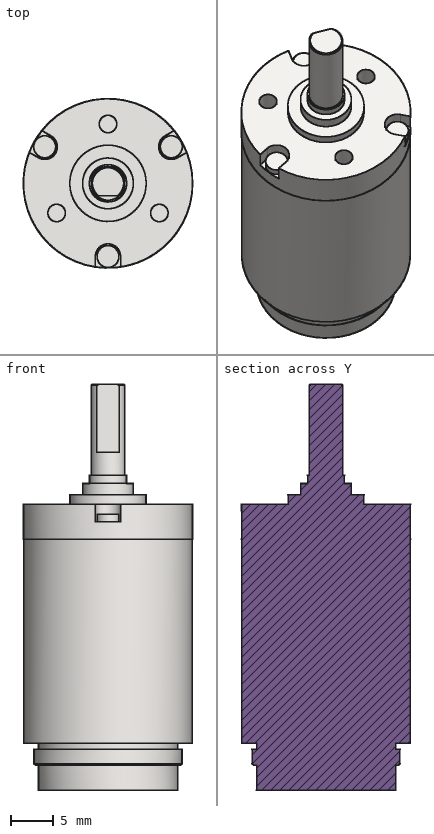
import cadquery as cq

can_diameter = 16.5
body_diameter = 19.95
shaft_diameter = 4.0
body_bottom = 5.55
cap_bottom = 29.65
cap_top = 33.85
total_height = 48.0

ring_diameter = 17.5
ring_bottom = 3.0
ring_top = 4.9
ring_chamfer = 0.2

cap_diameter = 20.0
flange_diameter = 9.0
flange_top = 34.95
boss_diameter = 6.0
boss_top = 36.3
collar_diameter = 4.4
collar_top = 37.25

shaft_chamfer = 0.15
flat_offset = 1.5
flat_length = 8.0

feature_count = 3
hole_diameter = 2.05
hole_radius = 7.0
notch_width = 3.0
notch_radius = 8.65
notch_depth = 2.05
screw_diameter = 2.6
screw_height = 0.85


def cylinder(diameter, bottom, top):
    return cq.Workplane("XY").workplane(offset=bottom).circle(diameter / 2).extrude(top - bottom)


def around_axis(feature, start_angle):
    """Three equally spaced copies of a feature that lies on the +X side."""
    copies = cq.Workplane("XY")
    for index in range(feature_count):
        angle = start_angle + index * 360 / feature_count
        copies = copies.add(feature.rotate((0, 0, 0), (0, 0, 1), angle))
    return copies.combine()


def make_body():
    body = cylinder(can_diameter, 0, body_bottom)
    body = body.union(cylinder(ring_diameter, ring_bottom, ring_top).faces("<Z").chamfer(ring_chamfer))
    body = body.union(cylinder(body_diameter, body_bottom, cap_bottom))
    body = body.union(cylinder(cap_diameter, cap_bottom, cap_top))
    body = body.union(cylinder(flange_diameter, cap_top, flange_top))
    body = body.union(cylinder(boss_diameter, flange_top, boss_top))
    return body.union(cylinder(collar_diameter, boss_top, collar_top))


def make_shaft():
    """D-shaped output shaft with its flat facing -Y."""
    shaft = cylinder(shaft_diameter, collar_top, total_height).faces(">Z").chamfer(shaft_chamfer)
    flat_cut = (
        cq.Workplane("XY")
        .workplane(offset=total_height - flat_length)
        .center(0, -flat_offset)
        .rect(shaft_diameter, shaft_diameter)
        .extrude(flat_length)
        .translate((0, -shaft_diameter / 2, 0))
    )
    return shaft.cut(flat_cut)


def make_notch():
    """U-shaped notch that opens through the rim of the cap."""
    floor = cap_top - notch_depth
    inner_end = cylinder(notch_width, floor, cap_top).translate((notch_radius, 0, 0))
    opening = (
        cq.Workplane("XY")
        .workplane(offset=floor)
        .center(notch_radius + notch_width / 2, 0)
        .rect(notch_width, notch_width)
        .extrude(notch_depth)
    )
    return inner_end.union(opening)


def make_screw():
    floor = cap_top - notch_depth
    return cylinder(screw_diameter, floor, floor + screw_height).translate((notch_radius, 0, 0))


hole = cylinder(hole_diameter, cap_bottom, cap_top).translate((hole_radius, 0, 0))

result = make_body().union(make_shaft())
result = result.cut(around_axis(hole, 90))
result = result.cut(around_axis(make_notch(), -90))
result = result.union(around_axis(make_screw(), -90))